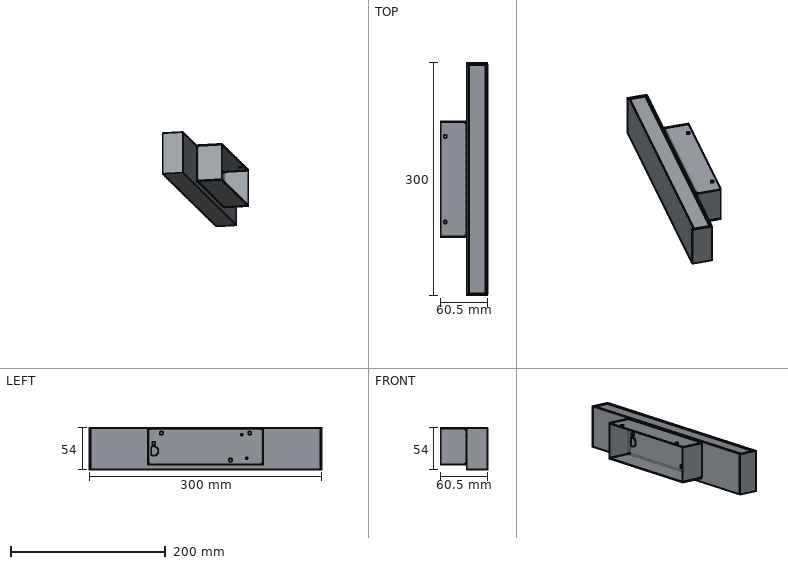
import cadquery as cq

BAR_LENGTH = 300.0
BAR_DEPTH = 27.0
BAR_HEIGHT = 54.0
END_CAP_THICKNESS = 2.0
END_CAP_INSET = 0.3
BAR_EDGE_RADIUS = 0.5
SIDE_WALL_THICKNESS = 2.55
GROOVE_WIDTH = 0.5
GROOVE_DEPTH = 1.0

BRACKET_LENGTH = 149.5
BRACKET_DEPTH = 33.5
BRACKET_HEIGHT = 48.0
SHEET = 1.0
BEND_INNER_RADIUS = 1.0
BEND_OUTER_RADIUS = BEND_INNER_RADIUS + SHEET
SEAM_GAP = 0.1
CORNER_RELIEF = BEND_OUTER_RADIUS + SEAM_GAP

BRACKET_TOP = BAR_HEIGHT
BRACKET_MID_Z = BRACKET_TOP - BRACKET_HEIGHT / 2

FLANGE_HOLE_DIAMETER = 4.2
FLANGE_HOLE_SPACING = 110.5
FLANGE_HOLE_EDGE_DISTANCE = 6.0

FLOOR_HOLE_DIAMETER = 4.5
CABLE_HOLE_Y = 67.0
FLOOR_HOLES = [(57.0, 47.0), (-57.0, 47.0), (CABLE_HOLE_Y, 34.0), (-32.0, 12.3)]
PILOT_HOLE_DIAMETER = 2.5
PILOT_HOLES = [(-46.8, 45.0), (-53.0, 14.7)]

CABLE_HOLE_Z = 24.0
CABLE_HOLE_RADIUS = 6.0
CABLE_HOLE_FLAT = 3.3


def rounded_bar(depth, length):
    """Block of full bar height, centred on the bar, with rounded long top edges."""
    return (
        cq.Workplane("XY", origin=(BAR_DEPTH / 2, 0, 0))
        .box(depth, length, BAR_HEIGHT, centered=(True, True, False))
        .edges("|Y and >Z")
        .fillet(BAR_EDGE_RADIUS)
    )


def panel_groove():
    """Narrow rectangular ring in the top of the bar that frames the light panel."""
    frame_x = BAR_DEPTH - 2 * SIDE_WALL_THICKNESS
    frame_y = BAR_LENGTH - 2 * END_CAP_THICKNESS
    return (
        cq.Workplane("XY", origin=(BAR_DEPTH / 2, 0, BAR_HEIGHT - GROOVE_DEPTH))
        .rect(frame_x, frame_y)
        .rect(frame_x - 2 * GROOVE_WIDTH, frame_y - 2 * GROOVE_WIDTH)
        .extrude(GROOVE_DEPTH)
    )


def make_light_bar():
    """Profile with slightly narrower end caps and a grooved top."""
    profile = rounded_bar(BAR_DEPTH, BAR_LENGTH - 2 * END_CAP_THICKNESS)
    with_caps = profile.union(rounded_bar(BAR_DEPTH - 2 * END_CAP_INSET, BAR_LENGTH))
    return with_caps.cut(panel_groove())


def bent_block(web_x, span, length, radius):
    """Block running along Z with its +X side on web_x and that side's two long edges rounded."""
    return (
        cq.Workplane("XY")
        .box(BRACKET_DEPTH, span, length)
        .translate((web_x - BRACKET_DEPTH / 2, 0, 0))
        .edges("|Z and >X")
        .fillet(radius)
    )


def relieved_channel(span, length, relief):
    """U of sheet along Z: web on X = 0, legs toward -X, the bends cut back at both ends."""
    outer = bent_block(0, span, length, BEND_OUTER_RADIUS)
    inner = bent_block(-SHEET, span - 2 * SHEET, length, BEND_INNER_RADIUS)
    channel = outer.cut(inner)
    for side in (1, -1):
        cutter = cq.Workplane("XY").box(BEND_OUTER_RADIUS, span, relief)
        relief_z = side * (length - relief) / 2
        channel = channel.cut(cutter.translate((-BEND_OUTER_RADIUS / 2, 0, relief_z)))
    return channel


def make_bracket():
    """Tray folded from one sheet; the end legs stand between the long legs."""
    end_leg_height = BRACKET_HEIGHT - 2 * (SHEET + SEAM_GAP)
    long_fold = relieved_channel(BRACKET_HEIGHT, BRACKET_LENGTH, CORNER_RELIEF)
    end_fold = relieved_channel(BRACKET_LENGTH, end_leg_height, CORNER_RELIEF - SHEET - SEAM_GAP)
    tray = end_fold.union(long_fold.rotate((0, 0, 0), (1, 0, 0), 90))
    return tray.translate((0, 0, BRACKET_MID_Z)).cut(flange_holes()).cut(floor_holes())


def flange_holes():
    half = FLANGE_HOLE_SPACING / 2
    x = FLANGE_HOLE_EDGE_DISTANCE - BRACKET_DEPTH
    return (
        cq.Workplane("XY", origin=(0, 0, BRACKET_TOP - SHEET))
        .pushPoints([(x, half), (x, -half)])
        .circle(FLANGE_HOLE_DIAMETER / 2)
        .extrude(SHEET)
    )


def cable_hole(floor):
    """Circle with the part beyond the flat removed, cut through the floor sheet."""
    circle = floor.center(CABLE_HOLE_Y, CABLE_HOLE_Z).circle(CABLE_HOLE_RADIUS).extrude(SHEET)
    beyond_flat = (
        floor.center(CABLE_HOLE_Y + CABLE_HOLE_FLAT + CABLE_HOLE_RADIUS, CABLE_HOLE_Z)
        .rect(2 * CABLE_HOLE_RADIUS, 2 * CABLE_HOLE_RADIUS)
        .extrude(SHEET)
    )
    return circle.cut(beyond_flat)


def floor_holes():
    floor = cq.Workplane("YZ", origin=(-SHEET, 0, 0))
    screw_holes = floor.pushPoints(FLOOR_HOLES).circle(FLOOR_HOLE_DIAMETER / 2).extrude(SHEET)
    pilot_holes = floor.pushPoints(PILOT_HOLES).circle(PILOT_HOLE_DIAMETER / 2).extrude(SHEET)
    return screw_holes.union(pilot_holes).union(cable_hole(floor))


light_bar = make_light_bar()
bracket = make_bracket()
result = cq.Compound.makeCompound([light_bar.val(), bracket.val()])